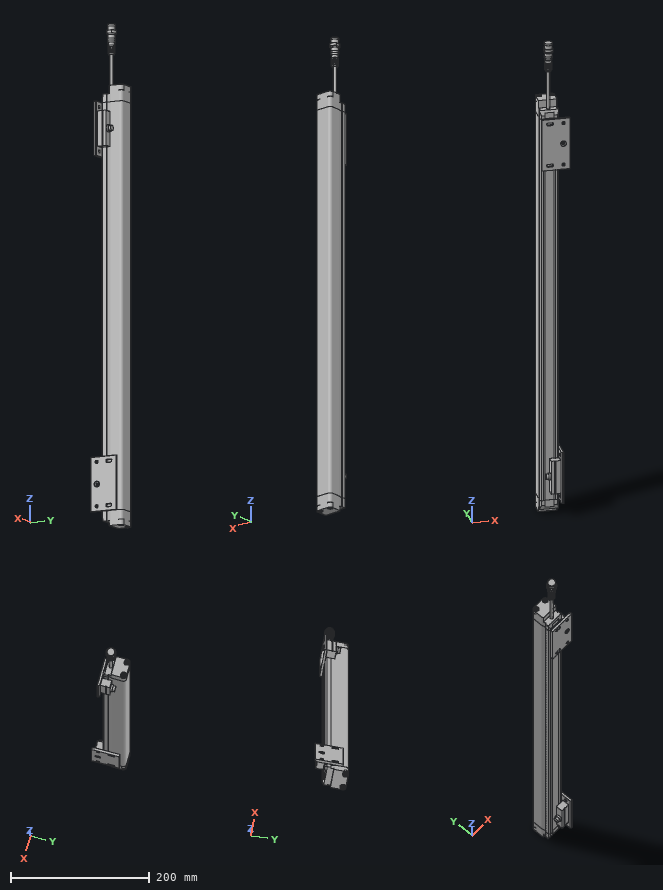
import cadquery as cq

total_width = 44.0
total_depth = 50.0
total_height = 740.5

housing_width = 28.0
left_x = -total_width / 2
center_x = left_x + housing_width / 2
back_y = total_depth / 2
front_y = -9.5
back_corner_radius = 4.5
side_groove_back_y = 5.55
side_groove_front_y = -1.1
side_groove_depth = 1.5
front_chamfer = 2.0
groove_depth = 1.5
groove_floor_width = 13.0
tube_groove_mouth_width = 18.0

tip_height = 1.5
bottom_cap_length = 22.0
tube_length = 600.5
top_cap_length = 24.5
tube_bottom_z = tip_height + bottom_cap_length
tube_top_z = tube_bottom_z + tube_length

shelf_y = 3.0
top_shelf_depth = 12.0
bottom_shelf_depth = 7.5
slant_depth = 3.0
slant_height = 7.5
screw_recess_diameter = 8.0
screw_recess_depth = 8.0
screw_head_diameter = 5.5
screw_socket_diameter = 2.5
screw_socket_depth = 2.0
screw_inset = 4.5
screw_spread = housing_width - 2 * screw_inset
screw_y = back_y - screw_inset
tip_diameter = 1.5

cable_y = -1.0
cable_diameter = 5.0
flange_diameter = 15.0
flange_flat_width = 12.5
connector_body = [
    (12.0, 3.0),
    (11.0, 6.0),
    (flange_diameter, 4.5),
    (12.0, 2.0),
    (11.0, 5.0),
    (12.0, 3.0),
    (11.0, 3.0),
    (9.5, 4.5),
]
strain_relief_rib = [(10.0, 2.0), (8.0, 2.0)]
strain_relief_ribs = 3
connector_steps = connector_body + strain_relief_rib * strain_relief_ribs

plate_width = 41.5
plate_length = 80.0
plate_thickness = 4.0
plate_chamfer = 1.5
fixing_spread = 65.0
slot_offset = 12.0
slot_length = 9.5
slot_diameter = 4.5
hole_offset = 32.0
hole_diameter = 4.5
block_width = 11.0
block_length = 52.0
block_height = 14.0
block_groove_height = 8.0
block_groove_width = 1.5
block_groove_depth = 1.0
collar_diameter = 10.0
collar_height = 3.0
pin_diameter = 8.0
pin_height = 4.0
counterbore_diameter = 8.0
counterbore_depth = 1.5
socket_diameter = 4.0
socket_depth = 3.0
bracket_right_x = total_width / 2
bracket_front_y = -total_depth / 2


def housing_prism(length, bottom_z, groove_mouth_width):
    """Extrude the housing cross-section upwards from bottom_z."""
    right_half = [
        (housing_width / 2, back_y),
        (housing_width / 2, side_groove_back_y),
        (housing_width / 2 - side_groove_depth, side_groove_front_y),
        (housing_width / 2, side_groove_front_y),
        (housing_width / 2, front_y + front_chamfer),
        (housing_width / 2 - front_chamfer, front_y),
        (groove_mouth_width / 2, front_y),
        (groove_floor_width / 2, front_y + groove_depth),
    ]
    left_half = [(-x, y) for x, y in reversed(right_half)]
    return (
        cq.Workplane("XY", origin=(center_x, 0, bottom_z))
        .polyline(right_half + left_half)
        .close()
        .extrude(length)
        .edges("|Z and >Y")
        .fillet(back_corner_radius)
    )


def end_cap(length, shelf_depth):
    """Cap standing on Z = 0 with its free end up: stepped front, two screws at the back corners."""
    cap = housing_prism(length, 0, groove_floor_width)
    shelf_z = length - shelf_depth
    front_step = (
        cq.Workplane("YZ", origin=(left_x, 0, 0))
        .moveTo(shelf_y, length)
        .lineTo(shelf_y, shelf_z)
        .lineTo(front_y + slant_depth, shelf_z)
        .lineTo(front_y, shelf_z - slant_height)
        .lineTo(front_y, length)
        .close()
        .extrude(housing_width)
    )
    cap = cap.cut(front_step)

    recess_floor_z = length - screw_recess_depth
    recesses = corner_cylinders(screw_recess_diameter, screw_recess_depth, recess_floor_z)
    screw_heads = corner_cylinders(screw_head_diameter, screw_recess_depth, recess_floor_z)
    sockets = corner_cylinders(screw_socket_diameter, screw_socket_depth, length - screw_socket_depth)
    return cap.cut(recesses).union(screw_heads).cut(sockets)


def corner_cylinders(diameter, height, bottom_z):
    """Two upright cylinders on the screw axes at the back corners of the housing."""
    return (
        cq.Workplane("XY", origin=(center_x, screw_y, bottom_z))
        .rarray(screw_spread, 7.5, 2, 1)
        .circle(diameter / 2)
        .extrude(height)
    )


def cable_with_connector():
    """Cable rising from the shelf of the top cap, with a stepped round connector at its end."""
    cable_bottom_z = tube_top_z + top_cap_length - top_shelf_depth
    cable = (
        cq.Workplane("XY", origin=(center_x, cable_y, cable_bottom_z))
        .circle(cable_diameter / 2)
        .extrude(total_height - cable_bottom_z)
    )
    step_top_z = total_height
    for diameter, height in connector_steps:
        step_top_z -= height
        step = (
            cq.Workplane("XY", origin=(center_x, cable_y, step_top_z))
            .circle(diameter / 2)
            .extrude(height)
        )
        if diameter == flange_diameter:
            flats = cq.Workplane("XY", origin=(center_x, cable_y, step_top_z)).rect(
                flange_flat_width, flange_diameter
            )
            step = step.intersect(flats.extrude(height))
        cable = cable.union(step)
    return cable


def bracket():
    """Plate along +X from X = 0, outer face at Y = 0, centered on Z, with a clamp block behind it."""
    plate = cq.Workplane("XY").box(
        plate_width, plate_thickness, plate_length, centered=(False, False, True)
    )
    plate = plate.edges("|Z and >X and >Y").chamfer(plate_chamfer)
    block = cq.Workplane("XY", origin=(hole_offset, plate_thickness, 0)).box(
        block_width, block_height, block_length, centered=(True, False, True)
    )
    block_back_y = plate_thickness + block_height
    groove = cq.Workplane(
        "XY", origin=(hole_offset + block_width / 2, plate_thickness + block_groove_height, 0)
    ).box(2 * block_groove_depth, block_groove_width, block_length)
    collar = cylinder_along_y(collar_diameter, collar_height, block_back_y)
    pin = cylinder_along_y(pin_diameter, pin_height, block_back_y + collar_height)
    counterbore = cylinder_along_y(counterbore_diameter, counterbore_depth, 0)
    socket = cylinder_along_y(socket_diameter, socket_depth, counterbore_depth)
    body = plate.union(block.cut(groove)).union(collar).union(pin).cut(counterbore).cut(socket)

    for z in (-fixing_spread / 2, fixing_spread / 2):
        outer_face = cq.Workplane("XZ")
        hole = outer_face.center(hole_offset, z).circle(hole_diameter / 2).extrude(-plate_thickness)
        slot = outer_face.center(slot_offset, z).slot2D(slot_length, slot_diameter).extrude(-plate_thickness)
        body = body.cut(hole).cut(slot)
    return body


def cylinder_along_y(diameter, height, start_y):
    """Cylinder on the axis of the bracket's clamp pin, growing towards +Y."""
    return (
        cq.Workplane("XZ", origin=(hole_offset, start_y, 0)).circle(diameter / 2).extrude(-height)
    )


tube = housing_prism(tube_length, tube_bottom_z, tube_groove_mouth_width)

top_cap = end_cap(top_cap_length, top_shelf_depth).translate((0, 0, tube_top_z))
top_cap = top_cap.union(cable_with_connector())

tip = (
    cq.Workplane("XY", origin=(center_x - screw_spread / 2, screw_y, 0))
    .circle(tip_diameter / 2)
    .extrude(tip_height + screw_socket_depth)
)
bottom_cap = end_cap(bottom_cap_length, bottom_shelf_depth).mirror("XY")
bottom_cap = bottom_cap.translate((0, 0, tube_bottom_z)).union(tip)

upper_bracket = bracket().translate(
    (bracket_right_x - plate_width, front_y - plate_thickness, tube_top_z - plate_length / 2)
)

lower_bracket = (
    bracket()
    .rotate((0, 0, 0), (1, -1, 0), 180)
    .translate(
        (
            left_x + housing_width + plate_thickness,
            bracket_front_y + plate_width,
            tube_bottom_z + plate_length / 2,
        )
    )
)

result = cq.Compound.makeCompound(
    [tube.val(), top_cap.val(), bottom_cap.val(), upper_bracket.val(), lower_bracket.val()]
)